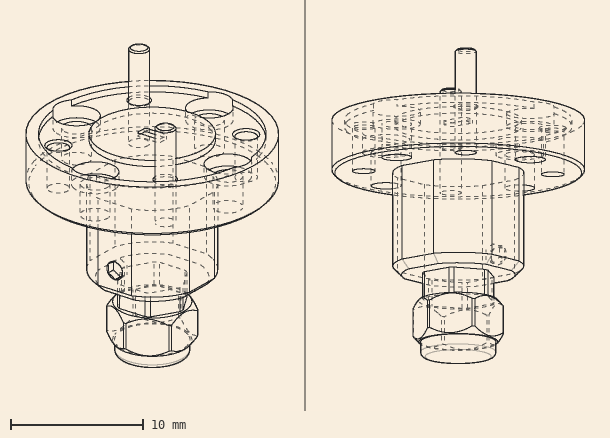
import cadquery as cq
import math

overall_height = 22.1
flange_top = 18.25
flange_bottom = 14.17
sleeve_bottom = 6.3
nut_top = 4.31
nut_bottom = 1.13

flange_diameter = 19.05
flange_chamfer = 0.22
recess_diameter = 17.15
recess_depth = 0.5
boss_diameter = flange_diameter / 2
recess_floor = flange_top - recess_depth

hole_circle_radius = 7.15
screw_hole_diameter = 2.25
counterbore_diameter = 3.58
counterbore_depth = 1.5
screw_angles = [0, 90, 180, 270]
dowel_hole_diameter = 1.7
dowel_hole_chamfer = 0.18
dowel_hole_angles = [45, 225]

pin_diameter = 1.6
pin_tip_chamfer = 0.13
pin_hole_chamfer = 0.13
pin_angles = [135, 315]

window_length = 2.08
window_width = 1.05
window_corner_radius = 0.15
window_depth = 0.29

sleeve_across_flats = 9.37
sleeve_flat_width = 3.15
sleeve_diameter = math.hypot(sleeve_across_flats, sleeve_flat_width)
sleeve_chamfer = 0.66
socket_height = 8.6
socket_across_flats = 1.3
socket_rim_diameter = 1.48
socket_depth = 0.69

neck_across_flats = 5.0
neck_diameter = 5.55
nut_across_flats = 6.08
nut_diameter = 6.9
nut_end_diameter = 5.97
nut_bevel_height = 0.53
ferrule_diameter = 5.68
ferrule_fillet = 0.35


def cylinder(diameter, bottom, top):
    return cq.Workplane("XY").workplane(offset=bottom).circle(diameter / 2).extrude(top - bottom)


def hexagon_prism(across_flats, bottom, top):
    """Hexagonal prism with corners on the X axis."""
    across_corners = across_flats / math.cos(math.pi / 6)
    return cq.Workplane("XY").workplane(offset=bottom).polygon(6, across_corners).extrude(top - bottom)


def on_hole_circle(angle):
    """Offset from the axis to the hole-circle position at an angle in degrees."""
    turn = math.radians(angle)
    return cq.Vector(hole_circle_radius * math.cos(turn), hole_circle_radius * math.sin(turn), 0)


def chamfered_hole(diameter, chamfer):
    """Cutter for a through hole, chamfered at the recess floor."""
    half_section = [
        (0, flange_bottom),
        (diameter / 2, flange_bottom),
        (diameter / 2, recess_floor - chamfer),
        (diameter / 2 + chamfer, recess_floor),
        (0, recess_floor),
    ]
    return cq.Workplane("XZ").polyline(half_section).close().revolve(360, (0, 0, 0), (0, 1, 0))


def counterbored_hole():
    """Cutter for a through hole with a counterbore sunk from the flange rim."""
    bore = cylinder(screw_hole_diameter, flange_bottom, flange_top)
    return bore.union(cylinder(counterbore_diameter, flange_top - counterbore_depth, flange_top))


def make_flange():
    flange = cylinder(flange_diameter, flange_bottom, flange_top).faces("<Z").chamfer(flange_chamfer)
    recess = cylinder(recess_diameter, recess_floor, flange_top)
    flange = flange.cut(recess.cut(cylinder(boss_diameter, recess_floor, flange_top)))
    for angle in screw_angles:
        flange = flange.cut(counterbored_hole().translate(on_hole_circle(angle)))
    for angle in dowel_hole_angles:
        hole = chamfered_hole(dowel_hole_diameter, dowel_hole_chamfer)
        flange = flange.cut(hole.translate(on_hole_circle(angle)))
    for angle in pin_angles:
        hole = chamfered_hole(pin_diameter, pin_hole_chamfer)
        flange = flange.cut(hole.translate(on_hole_circle(angle)))
    window = (
        cq.Workplane("XY").workplane(offset=flange_top - window_depth)
        .rect(window_length, window_width).extrude(window_depth)
        .edges("|Z").fillet(window_corner_radius)
    )
    return flange.cut(window)


def make_socket():
    """Cutter for the hexagon socket, with a bevelled round mouth on the -Y flat."""
    mouth = cq.Workplane("XZ", origin=(0, -sleeve_across_flats / 2, socket_height))
    across_corners = socket_across_flats / math.cos(math.pi / 6)
    hexagon = mouth.transformed(rotate=(0, 0, 90)).polygon(6, across_corners).extrude(-socket_depth)
    bevel_depth = (socket_rim_diameter - socket_across_flats) / 2
    bevel = mouth.circle(socket_rim_diameter / 2).extrude(-bevel_depth, taper=45)
    return hexagon.union(bevel)


def make_sleeve():
    """Cylinder with four flats, chamfered at the lower end on the round stretches and the flats alike."""
    flats = (
        cq.Workplane("XY").workplane(offset=sleeve_bottom)
        .rect(sleeve_across_flats, sleeve_across_flats).extrude(flange_bottom - sleeve_bottom)
        .faces("<Z").chamfer(sleeve_chamfer)
    )
    round_part = cylinder(sleeve_diameter, sleeve_bottom, flange_bottom).faces("<Z").chamfer(sleeve_chamfer)
    return round_part.intersect(flats).cut(make_socket())


def make_nut():
    """Hexagon nut with corners on the Y axis, turned down conically at both ends."""
    half_section = [
        (0, nut_bottom),
        (nut_end_diameter / 2, nut_bottom),
        (nut_diameter / 2, nut_bottom + nut_bevel_height),
        (nut_diameter / 2, nut_top - nut_bevel_height),
        (nut_end_diameter / 2, nut_top),
        (0, nut_top),
    ]
    turned = cq.Workplane("XZ").polyline(half_section).close().revolve(360, (0, 0, 0), (0, 1, 0))
    hexagon = hexagon_prism(nut_across_flats, nut_bottom, nut_top).rotate((0, 0, 0), (0, 0, 1), 90)
    return turned.intersect(hexagon)


def make_connector():
    neck = hexagon_prism(neck_across_flats, nut_top, sleeve_bottom)
    neck = neck.intersect(cylinder(neck_diameter, nut_top, sleeve_bottom))
    ferrule = cylinder(ferrule_diameter, 0, nut_bottom).faces("<Z").edges().fillet(ferrule_fillet)
    return neck.union(make_nut()).union(ferrule)


def make_pin(angle):
    pin = cylinder(pin_diameter, flange_bottom, overall_height).faces(">Z").chamfer(pin_tip_chamfer)
    return pin.translate(on_hole_circle(angle))


housing = make_flange().union(make_sleeve()).union(make_connector())
pins = [make_pin(angle) for angle in pin_angles]

result = cq.Compound.makeCompound([housing.val(), *[pin.val() for pin in pins]])